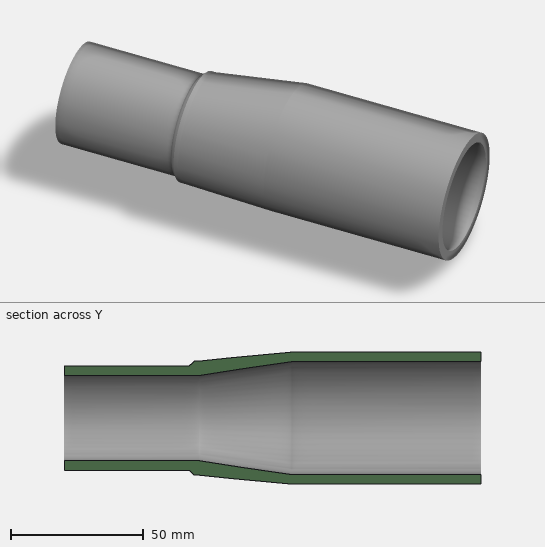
import cadquery as cq

total_length = 157.0
large_diameter = 50.0
small_diameter = 40.0
wall = 3.8
collar_diameter = 43.6
small_length = 47.1
bevel_length = 1.9
collar_length = 1.9
large_length = 71.3

large_radius = large_diameter / 2
small_radius = small_diameter / 2
collar_radius = collar_diameter / 2
small_axis_y = collar_radius - large_radius

bevel_end_x = small_length + bevel_length
taper_start_x = bevel_end_x + collar_length
taper_end_x = total_length - large_length
taper_length = taper_end_x - taper_start_x


def cylinder(start_x, length, radius, axis_y):
    """Solid cylinder along +X."""
    return cq.Workplane("YZ", origin=(start_x, axis_y, 0)).circle(radius).extrude(length)


def loft_between(start_x, length, start_radius, start_y, end_radius, end_y):
    """Ruled solid joining two circles in planes normal to X."""
    return (
        cq.Workplane("YZ", origin=(start_x, 0, 0))
        .center(start_y, 0)
        .circle(start_radius)
        .workplane(offset=length)
        .center(end_y - start_y, 0)
        .circle(end_radius)
        .loft(ruled=True)
    )


body = (
    cylinder(0, small_length, small_radius, small_axis_y)
    .union(loft_between(small_length, bevel_length, small_radius, small_axis_y, collar_radius, small_axis_y))
    .union(cylinder(bevel_end_x, collar_length, collar_radius, small_axis_y))
    .union(loft_between(taper_start_x, taper_length, collar_radius, small_axis_y, large_radius, 0))
    .union(cylinder(taper_end_x, large_length, large_radius, 0))
)

small_bore_radius = small_radius - wall
large_bore_radius = large_radius - wall
bore = (
    cylinder(0, taper_start_x, small_bore_radius, small_axis_y)
    .union(loft_between(taper_start_x, taper_length, small_bore_radius, small_axis_y, large_bore_radius, 0))
    .union(cylinder(taper_end_x, large_length, large_bore_radius, 0))
)

result = body.cut(bore)